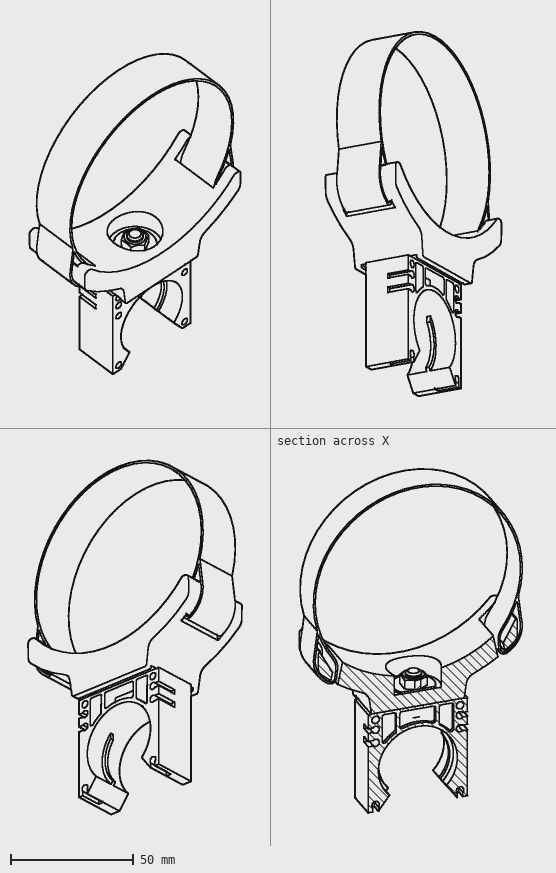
import cadquery as cq
import math


SIDES = (1, -1)


def circle_drop(radius, y):
    """Distance from a circle's centre down to the circle at offset y."""
    return math.sqrt(radius**2 - y**2)


strap_width = 20.0
strap_thickness = 1.0
strap_radius = 45.9
strap_bore = strap_radius - strap_thickness
loop_join_z = -12.5
loop_shoulder = (46.7, -32.3)
loop_shoulder_radius = 12.8
loop_foot = (36.0, -39.9)
loop_foot_radius = 2.5
loop_entry_y = 34.7
loop_entry_radius = 8.7
loop_join = (circle_drop(strap_radius, loop_join_z), loop_join_z)
loop_entry = (loop_entry_y, -circle_drop(strap_bore, loop_entry_y))

saddle_width = 33.2
saddle_base_width = 31.9
saddle_half_span = 43.7
saddle_arc_z = 13.7
saddle_inner_radius = 53.7
saddle_outer_radius = 63.0
tip_z = -21.8
tip_radius = 1.9
arm_side_radius = 4.4
pillar_base_half = 20.4
pillar_base_z = -54.9
pillar_lean = 1.0
pillar_lean_height = 7.1
pillar_radius = 4.8
foot_height = 1.2
foot_inner_half = 13.0
foot_radius = 1.0

slot_width = 22.7
slot_outer_y = 42.8
slot_outer_z = -22.5
slot_throat_y = 37.3
slot_throat_z = -32.8
slot_inner_y = 33.0
slot_inner_z = -28.5
slot_exit_y = (35.4, 38.7)
slot_exit_z = -39.6

well_diameter = 22.7
well_floor_z = -47.9
bolt_diameter = 6.7
bolt_tip_diameter = 5.0
bolt_tip_z = well_floor_z + 7.0
bolt_depth_in_clip = 5.8
washer_diameter = 18.0
washer_thickness = 0.9
nut_corner_diameter = 11.5
nut_height = 4.5
nut_face_diameter = 9.0
nut_chamfer_angle = 30.0

clip_width = 20.0
clip_span = 43.5
clip_top_z = pillar_base_z
clip_bottom_z = strap_radius - 145.6
clip_bore_z = -81.4
clip_bore_radius = 17.2
mouth_top_half = 11.4
mouth_top_z = -92.0
mouth_bottom_half = 17.2
rib_width = 1.6
rib_radius = 15.6
rib_end_half = 12.5
pocket_depth = 6.4
pocket_top_z = -56.2
pocket_arc_radius = 19.0
pocket_corner = 0.9
center_pocket_half = 7.7
side_pocket_inner = 9.5
side_pocket_outer = 15.6
pin_hole_diameter = 3.0
pin_hole_y = 18.5
top_pin_z = -57.8
slotted_pins = ((-62.3, 1.9), (-68.3, 2.3))
bottom_pin_z = -96.7
bottom_slot_width = 2.3
pin_slot_depth = 9.8


def prism(sketch, width):
    """Extrude a YZ outline symmetrically about X = 0."""
    return sketch.extrude(width / 2, both=True)


def disc(radius, center_z, width):
    return prism(cq.Workplane("YZ").center(0, center_z).circle(radius), width)


def box(x_range, y_range, z_range):
    size = [high - low for low, high in (x_range, y_range, z_range)]
    corner = (x_range[0], y_range[0], z_range[0])
    return cq.Workplane("XY").box(*size, centered=False).translate(corner)


def mirrored(shape):
    return shape.mirror("XZ")


def round_bends(body, sides):
    bends = (
        (loop_shoulder, loop_shoulder_radius),
        (loop_foot, loop_foot_radius),
        (loop_entry, loop_entry_radius),
    )
    for (y, z), radius in bends:
        for side in sides:
            selector = cq.NearestToPointSelector((0, side * y, z))
            body = body.edges("|X").edges(selector).fillet(radius)
    return body


def loop_hollow():
    """Space enclosed by one loop: the loop's outline shrunk by the strap thickness."""
    scale = strap_bore / strap_radius
    inner_join = (loop_join[0] * scale, loop_join[1] * scale)
    middle_angle = (math.atan2(loop_join[1], loop_join[0]) + math.atan2(loop_entry[1], loop_entry[0])) / 2
    middle = (strap_bore * math.cos(middle_angle), strap_bore * math.sin(middle_angle))
    outline = (
        cq.Workplane("YZ").moveTo(*loop_join).lineTo(*loop_shoulder).lineTo(*loop_foot)
        .lineTo(*loop_entry).threePointArc(middle, inner_join).close()
    )
    loop = round_bends(outline.extrude(strap_width), (1,))
    hollow = loop.faces("<X").wires().toPending().offset2D(-strap_thickness)
    return hollow.extrude(strap_width, both=True, combine=False)


def make_strap():
    def opposite(point):
        return (-point[0], point[1])

    outline = (
        cq.Workplane("YZ").moveTo(*loop_entry)
        .threePointArc((0, strap_bore), opposite(loop_entry))
        .lineTo(*opposite(loop_foot)).lineTo(*opposite(loop_shoulder)).lineTo(*opposite(loop_join))
        .threePointArc((0, strap_radius), loop_join)
        .lineTo(*loop_shoulder).lineTo(*loop_foot).close()
    )
    strap = round_bends(prism(outline, strap_width), SIDES)
    hollow = loop_hollow()
    return strap.cut(hollow).cut(mirrored(hollow))


def fillet_at(body, radius, *points):
    """Round the X-direction edges that pass through the given YZ points, on both sides."""
    for y, z in points:
        for side in SIDES:
            selector = cq.NearestToPointSelector((0, side * y, z))
            body = body.edges("|X").edges(selector).fillet(radius)
    return body


def saddle_body():
    outer = disc(saddle_outer_radius, saddle_arc_z, saddle_width)
    x_range = (-saddle_width / 2, saddle_width / 2)
    arms = outer.intersect(
        box(x_range, (-saddle_half_span, saddle_half_span), (pillar_base_z, tip_z))
    )
    pillar_top_half = pillar_base_half + pillar_lean
    root_z = saddle_arc_z - circle_drop(saddle_outer_radius, pillar_top_half)
    lean = pillar_lean / pillar_lean_height
    head_z = saddle_arc_z - saddle_inner_radius
    head_half = pillar_base_half + lean * (head_z - pillar_base_z)
    foot_z = pillar_base_z - foot_height
    pillar = prism(
        cq.Workplane("YZ").polyline([
            (-head_half, head_z), (head_half, head_z),
            (pillar_base_half, pillar_base_z), (pillar_base_half, foot_z),
            (-pillar_base_half, foot_z), (-pillar_base_half, pillar_base_z),
        ]).close(),
        saddle_width,
    )
    body = arms.union(pillar).cut(disc(saddle_inner_radius, saddle_arc_z, saddle_width))
    tip_inner_y = circle_drop(saddle_inner_radius, saddle_arc_z - tip_z)
    arm_side_z = saddle_arc_z - circle_drop(saddle_outer_radius, saddle_half_span)
    body = fillet_at(body, tip_radius, (saddle_half_span, tip_z), (tip_inner_y, tip_z))
    body = fillet_at(body, arm_side_radius, (saddle_half_span, arm_side_z))
    body = fillet_at(body, pillar_radius, (pillar_top_half, root_z))
    return fillet_at(body, foot_radius, (pillar_base_half, foot_z))


def side_draft():
    """Prism whose sides lean inwards from the arm tips to the feet."""
    foot_z = pillar_base_z - foot_height
    top = saddle_width / 2
    base = saddle_base_width / 2
    outline = cq.Workplane("XZ").polyline([(-top, tip_z), (top, tip_z), (base, foot_z), (-base, foot_z)])
    return outline.close().extrude(saddle_half_span, both=True)


def strap_slot():
    outline = cq.Workplane("YZ").polyline([
        (slot_inner_y, tip_z), (slot_outer_y, tip_z), (slot_outer_y, slot_outer_z),
        (slot_throat_y, slot_throat_z), (slot_exit_y[1], slot_exit_z),
        (slot_exit_y[0], slot_exit_z), (slot_inner_y, slot_inner_z),
    ])
    return prism(outline.close(), slot_width)


def cylinder(diameter, bottom_z, top_z):
    return cq.Workplane("XY").workplane(offset=bottom_z).circle(diameter / 2).extrude(top_z - bottom_z)


def make_saddle():
    clip_channel = box(
        (-foot_inner_half, foot_inner_half),
        (-pillar_base_half, pillar_base_half),
        (pillar_base_z - foot_height, pillar_base_z),
    )
    body = saddle_body().intersect(side_draft()).cut(clip_channel)
    slot = strap_slot()
    body = body.cut(slot).cut(mirrored(slot))
    body = body.cut(cylinder(well_diameter, well_floor_z, tip_z))
    return body.cut(cylinder(bolt_diameter, pillar_base_z, well_floor_z))


def make_bolt():
    body = cylinder(bolt_diameter, clip_top_z - bolt_depth_in_clip, bolt_tip_z)
    return body.faces(">Z").chamfer((bolt_diameter - bolt_tip_diameter) / 2)


def make_washer():
    body = cylinder(washer_diameter, well_floor_z, well_floor_z + washer_thickness)
    return body.cut(cylinder(bolt_diameter, well_floor_z, bolt_tip_z))


def make_nut():
    bottom_z = well_floor_z + washer_thickness
    top_z = bottom_z + nut_height
    hexagon = cq.Workplane("XY").workplane(offset=bottom_z).polygon(6, nut_corner_diameter)
    corner_radius = nut_corner_diameter / 2
    face_radius = nut_face_diameter / 2
    corner_drop = (corner_radius - face_radius) * math.tan(math.radians(nut_chamfer_angle))
    chamfer_profile = cq.Workplane("XZ").polyline([
        (0, bottom_z), (corner_radius, bottom_z), (corner_radius, top_z - corner_drop),
        (face_radius, top_z), (0, top_z),
    ])
    body = hexagon.extrude(nut_height).intersect(chamfer_profile.close().revolve())
    return body.cut(cylinder(bolt_diameter, bottom_z, bolt_tip_z))


def mouth_flare():
    """Wedge that opens the bottom of the bore; its apex lies inside the bore."""
    slope = (mouth_top_z - clip_bottom_z) / (mouth_bottom_half - mouth_top_half)
    apex_z = clip_bottom_z + slope * mouth_bottom_half
    outline = cq.Workplane("YZ").polyline([
        (0, apex_z), (mouth_bottom_half, clip_bottom_z), (-mouth_bottom_half, clip_bottom_z),
    ])
    return prism(outline.close(), clip_width)


def bore_rib():
    """Gripping rib around the middle of the bore, left out across the roof."""
    rib = disc(clip_bore_radius, clip_bore_z, rib_width).cut(disc(rib_radius, clip_bore_z, rib_width))
    half_width = rib_width / 2
    roof_z = clip_bore_z + clip_bore_radius
    gap = box((-half_width, half_width), (-rib_end_half, rib_end_half), (clip_bore_z, roof_z))
    return rib.cut(gap)


def clip_block():
    block = box(
        (-clip_width / 2, clip_width / 2),
        (-clip_span / 2, clip_span / 2),
        (clip_bottom_z, clip_top_z),
    )
    bored = block.cut(disc(clip_bore_radius, clip_bore_z, clip_width))
    return bored.union(bore_rib()).cut(mouth_flare())


def pocket(y_range):
    back_x = pocket_depth - clip_width / 2
    body = box((-clip_width / 2, back_x), y_range, (clip_bore_z, pocket_top_z))
    body = body.cut(disc(pocket_arc_radius, clip_bore_z, clip_width))
    return body.edges("|X").fillet(pocket_corner)


def pin_hole(y, z):
    return prism(cq.Workplane("YZ").center(y, z).circle(pin_hole_diameter / 2), clip_width)


def cut_pin_holes(body):
    slot_x = (-clip_width / 2, pin_slot_depth - clip_width / 2)
    half_span = clip_span / 2
    for z, slot_height in slotted_pins:
        slot = box(slot_x, (pin_hole_y, half_span), (z - slot_height / 2, z + slot_height / 2))
        hole = pin_hole(pin_hole_y, z).union(slot)
        body = body.cut(hole).cut(mirrored(hole))
    half_slot = bottom_slot_width / 2
    bottom_slot = box(
        slot_x, (pin_hole_y - half_slot, pin_hole_y + half_slot), (clip_bottom_z, bottom_pin_z)
    )
    bottom_hole = pin_hole(pin_hole_y, bottom_pin_z).union(bottom_slot)
    top_hole = pin_hole(pin_hole_y, top_pin_z)
    for hole in (bottom_hole, top_hole):
        body = body.cut(hole).cut(mirrored(hole))
    return body


def make_clip():
    side_pocket = pocket((side_pocket_inner, side_pocket_outer))
    body = clip_block().cut(pocket((-center_pocket_half, center_pocket_half)))
    body = body.cut(side_pocket).cut(mirrored(side_pocket))
    body = cut_pin_holes(body)
    return body.cut(cylinder(bolt_diameter, clip_top_z - bolt_depth_in_clip, clip_top_z))


strap = make_strap()
saddle = make_saddle()
bolt = make_bolt()
washer = make_washer()
nut = make_nut()
clip = make_clip()

result = cq.Compound.makeCompound(
    [strap.val(), saddle.val(), bolt.val(), washer.val(), nut.val(), clip.val()]
)